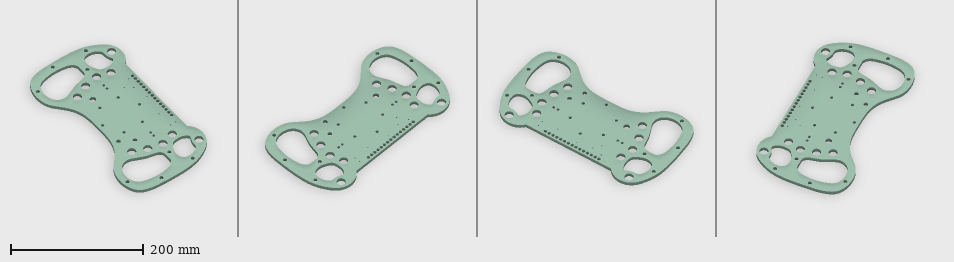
import cadquery as cq

WIDTH = 291.8
HEIGHT = 158.5
THICKNESS = 6.0
TOP_EDGE_Y = 68.0
TOP_EDGE_HALF_LENGTH = 78.0
BOTTOM_EDGE_Y = -41.1
GRIP_X = 102.7

PILOT_DIAMETER = 2.0
PAIR_DIAMETER = 4.5
MOUNT_DIAMETER = 5.0
LED_DIAMETER = 5.3
RIM_DIAMETER = 6.0
SWITCH_DIAMETER = 7.0
CABLE_DIAMETER = 10.0
BUTTON_DIAMETER = 13.7

LED_COUNT = 15
LED_PITCH = 7.0
LED_ROW_CENTER = (-3.0, 62.5)

BUTTON_CENTERS = [(109.7, 66.2), (77.0, 40.3), (83.2, 17.8), (78.0, -6.7), (68.3, -29.8)]
RIM_CENTERS = [(134.2, 36.0), (103.0, 15.2), (112.5, -71.0)]
PAIR_CENTERS = [(55.0, 16.0), (62.7, 16.0)]
MOUNT_CENTERS = [(30.3, 19.0), (30.3, -15.8)]

MIDDLE_MOUNT_CENTERS = [(0, 36.5), (0, -33.3)]
SIDE_RIM_CENTERS = [(-138.0, -23.5), (137.0, -25.0)]
SWITCH_CENTERS = [(52.8, -12.0), (40.0, -33.5)]
CABLE_CENTERS = [(-50.2, -14.0)]
PILOT_CENTERS = [
    (-50.5, 54.0), (-32.0, 49.5), (-41.0, 38.2), (-5.8, 55.0),
    (33.0, 48.7), (61.0, 48.7), (61.3, 58.7),
]

GRIP_OUTLINE = [
    (88.7, 76.5), (GRIP_X, HEIGHT / 2), (119.5, 73.8), (132.5, 58.5), (141.5, 37.5),
    (145.0, 17.5), (WIDTH / 2, -8.8), (145.3, -32.0), (142.0, -55.0), (135.7, -67.7),
    (122.5, -76.2), (GRIP_X, -HEIGHT / 2), (82.3, -74.0), (61.3, -57.0),
    (43.5, -46.0), (23.3, -41.7), (0, BOTTOM_EDGE_Y),
]

THUMB_WINDOW = [
    (98.3, 58.7), (105.0, 55.7), (110.3, 54.5), (116.7, 54.3), (123.1, 48.5), (126.6, 37.4),
    (124.3, 26.3), (112.5, 21.5), (99.2, 25.5), (91.0, 31.5), (89.0, 41.0), (91.5, 54.0),
]
HAND_WINDOW_TOP_Y = 7.5
HAND_WINDOW_TOP_START = (102.0, HAND_WINDOW_TOP_Y)
HAND_WINDOW_CURVE = [
    (116.7, HAND_WINDOW_TOP_Y), (124.3, 1.5), (128.5, -13.0), (129.3, -26.8), (127.2, -44.5),
    (121.5, -59.0), (110.5, -65.5), (93.7, -65.5), (82.3, -58.5), (78.0, -46.0),
    (81.5, -33.9), (88.0, -19.0), (91.5, -4.0), (95.5, 4.5), HAND_WINDOW_TOP_START,
]


def mirrored(points):
    """Return the points reflected across the YZ plane."""
    return [(-x, y) for x, y in points]


def both_sides(points):
    """Return the points together with their reflections."""
    return points + mirrored(points)


def plate():
    """Build the plate: two splined grips joined by a straight top edge."""
    left_outline = mirrored(GRIP_OUTLINE[-2::-1])
    left_outline.append((-TOP_EDGE_HALF_LENGTH, TOP_EDGE_Y))
    return (
        cq.Workplane("XY", origin=(0, 0, -THICKNESS / 2))
        .moveTo(TOP_EDGE_HALF_LENGTH, TOP_EDGE_Y)
        .spline(GRIP_OUTLINE + left_outline, includeCurrent=True)
        .close()
        .extrude(THICKNESS)
    )


def hole_cutter(centers, diameter):
    """Build cylinders that pass through the plate at the given centres."""
    return (
        cq.Workplane("XY")
        .pushPoints(centers)
        .circle(diameter / 2)
        .extrude(THICKNESS, both=True)
    )


def window_cutter():
    """Build the thumb and hand window cutters of the +X grip."""
    thumb = cq.Workplane("XY").spline(THUMB_WINDOW, periodic=True).close()
    hand = (
        cq.Workplane("XY")
        .moveTo(*HAND_WINDOW_TOP_START)
        .lineTo(*HAND_WINDOW_CURVE[0])
        .spline(HAND_WINDOW_CURVE[1:], includeCurrent=True)
        .close()
    )
    return thumb.extrude(THICKNESS, both=True).add(hand.extrude(THICKNESS, both=True)).combine()


def led_centers():
    """Return the evenly spaced LED hole centres."""
    center_x, row_y = LED_ROW_CENTER
    first_x = center_x - LED_PITCH * (LED_COUNT - 1) / 2
    return [(first_x + LED_PITCH * index, row_y) for index in range(LED_COUNT)]


HOLE_GROUPS = [
    (both_sides(BUTTON_CENTERS), BUTTON_DIAMETER),
    (both_sides(RIM_CENTERS) + SIDE_RIM_CENTERS, RIM_DIAMETER),
    (both_sides(PAIR_CENTERS), PAIR_DIAMETER),
    (both_sides(MOUNT_CENTERS) + MIDDLE_MOUNT_CENTERS, MOUNT_DIAMETER),
    (led_centers(), LED_DIAMETER),
    (SWITCH_CENTERS, SWITCH_DIAMETER),
    (CABLE_CENTERS, CABLE_DIAMETER),
    (PILOT_CENTERS, PILOT_DIAMETER),
]

right_windows = window_cutter()
result = plate().cut(right_windows).cut(right_windows.mirror("YZ"))
for hole_centers, hole_diameter in HOLE_GROUPS:
    result = result.cut(hole_cutter(hole_centers, hole_diameter))